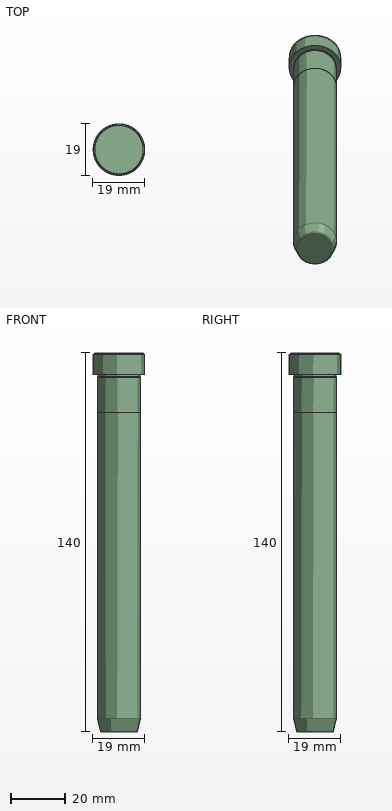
import cadquery as cq
import math

total_length = 140.0
top_z = total_length / 2
bottom_z = -total_length / 2

head_radius = 9.5
head_height = 8.0
head_chamfer = 0.5
collar_length = 22.0
shaft_radius = 8.0

groove_width = 1.0
groove_depth = 0.1
groove_slope_height = 0.3

lead_length = 5.0
lead_angle = 14.0
tip_edge_radius = 0.4

head_bottom_z = top_z - head_height
groove_bottom_z = head_bottom_z - groove_width
joint_z = top_z - collar_length


def make_headed_collar():
    """Chamfered head with a relieved neck, revolved about Z."""
    groove_radius = shaft_radius - groove_depth
    return (
        cq.Workplane("XZ")
        .moveTo(0, joint_z)
        .lineTo(shaft_radius, joint_z)
        .lineTo(shaft_radius, groove_bottom_z)
        .lineTo(groove_radius, groove_bottom_z + groove_slope_height)
        .lineTo(groove_radius, head_bottom_z)
        .lineTo(head_radius, head_bottom_z)
        .lineTo(head_radius, top_z - head_chamfer)
        .lineTo(head_radius - head_chamfer, top_z)
        .lineTo(0, top_z)
        .close()
        .revolve(360, (0, 0), (0, 1))
    )


def make_shaft():
    """Plain shaft with a conical, round-edged lead-in, revolved about Z."""
    tip_radius = shaft_radius - lead_length * math.tan(math.radians(lead_angle))
    return (
        cq.Workplane("XZ")
        .moveTo(0, bottom_z)
        .lineTo(tip_radius, bottom_z)
        .lineTo(shaft_radius, bottom_z + lead_length)
        .lineTo(shaft_radius, joint_z)
        .lineTo(0, joint_z)
        .close()
        .revolve(360, (0, 0), (0, 1))
        .faces("<Z")
        .edges()
        .fillet(tip_edge_radius)
    )


headed_collar = make_headed_collar()
shaft = make_shaft()

result = cq.Compound.makeCompound([headed_collar.val(), shaft.val()])